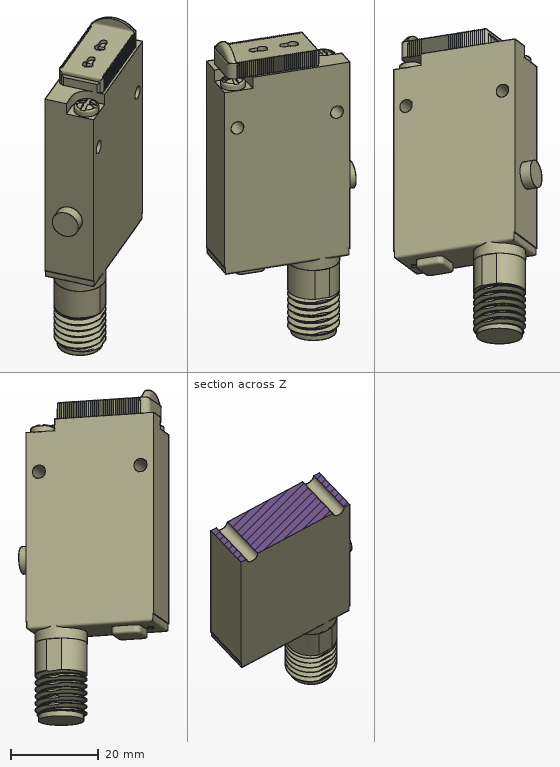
import cadquery as cq
import math


width = 12.04
depth = 30.72
plate_bottom = 20.6
body_bottom = 22.45
body_top = 69.7
plate_inset = 0.2
plate_fillet = 0.6
front_y = -depth / 2

hole_diameter = 3.1
hole_spacing = 24.4
hole_z = 57.5
button_diameter = 6.4
button_length = 2.6
button_z = 38.25

screw_x = 2.98
screw_y = 12.16
pocket_radius = 3.72
pocket_depth = 2.8
head_radius = 2.85
head_side_height = 1.0
head_edge = 0.55
head_height = 2.2
drive_width = 1.1
drive_depth = 0.75
pocket_floor = body_top - pocket_depth
pocket_back = -screw_y + pocket_radius

cap_half_width = 5.45
cap_front = -8.15
cap_rear = 14.1
cap_top = 73.6
cap_end_fillet = 0.65
cap_front_corner = 0.75
cap_rear_corner = 1.6
rib_pitch = 0.5
rib_depth = 0.45

panel_half_width = 4.75
panel_top = 72.5
panel_front = pocket_back
panel_bevel = 0.6

fin_front = 12.3
fin_rear = 13.85
fin_top = 76.22
fin_shoulder = 73.45
fin_rear_fillet = 1.3
fin_root_fillet = 0.6

keyhole_ys = (-3.68, 3.85)
keyhole_radius = 1.2
keyhole_depth = 1.3
slot_width = 1.6
slot_reach = 3.2
slot_depth = 0.9
ramp_start = 1.05
ramp_end = 1.6

plug_y = -8.7
collar_radius = width / 2
collar_bottom = 18.1
shank_radius = 5.98
flat_half_width = 5.7
thread_top = 10.75
thread_bottom = 1.2
thread_pitch = 1.61
thread_root = 5.0
thread_phase_z = 9.2
thread_turns_below = 7
ridge_half_crest = 0.07
ridge_half_root = 0.7
ridge_bury = 0.15
tip_radius = 5.25

foot_size = 7.0
foot_y = 7.73
foot_bottom = 18.7
foot_corner = 1.3
foot_fillet = 0.55
pip_diameter = 1.5
pip_y = 12.85
pip_height = 0.25

overlap = 0.5
half_way = math.sqrt(0.5)


def block(x_range, y_range, z_range):
    """Box between two limits on each axis."""
    size = [limits[1] - limits[0] for limits in (x_range, y_range, z_range)]
    corner = (x_range[0], y_range[0], z_range[0])
    return cq.Workplane("XY").box(*size, centered=False).translate(corner)


def cylinder(x, y, radius, z_low, z_high):
    """Upright cylinder between two heights."""
    return cq.Workplane("XY", origin=(x, y, z_low)).circle(radius).extrude(z_high - z_low)


def make_housing():
    """Main body, rounded end plate, two cross holes and the front button."""
    body = cq.Workplane("XY").workplane(offset=body_bottom).rect(width, depth)
    body = body.extrude(body_top - body_bottom)
    plate = cq.Workplane("XY").workplane(offset=plate_bottom).rect(width, depth - 2 * plate_inset)
    plate = plate.extrude(body_bottom - plate_bottom).faces("<Z").edges().fillet(plate_fillet)
    holes = (
        cq.Workplane("YZ", origin=(-width, 0, hole_z))
        .pushPoints([(-hole_spacing / 2, 0), (hole_spacing / 2, 0)])
        .circle(hole_diameter / 2)
        .extrude(2 * width)
    )
    button = (
        cq.Workplane("XZ", origin=(0, front_y + overlap, button_z))
        .circle(button_diameter / 2)
        .extrude(button_length + overlap)
    )
    return body.union(plate).cut(holes).union(button)


def make_pocket():
    """Round-cornered pocket that opens through the +X and -Y sides."""
    z_range = (pocket_floor, body_top)
    left = screw_x - pocket_radius
    pocket = cylinder(screw_x, -screw_y, pocket_radius, *z_range)
    pocket = pocket.union(block((left, width), (-depth, -screw_y), z_range))
    return pocket.union(block((screw_x, width), (-depth, pocket_back), z_range))


def make_screw():
    """Domed screw head with a cross drive."""
    shoulder_radius = head_radius - head_edge
    shoulder_height = head_side_height + head_edge
    edge_mid = head_edge * half_way
    dome_rise = head_height - shoulder_height
    dome_radius = (shoulder_radius**2 + dome_rise**2) / (2 * dome_rise)
    mid_radius = shoulder_radius / 2
    mid_height = head_height - dome_radius + math.sqrt(dome_radius**2 - mid_radius**2)
    head = (
        cq.Workplane("XZ")
        .moveTo(0, -overlap)
        .lineTo(head_radius, -overlap)
        .lineTo(head_radius, head_side_height)
        .threePointArc(
            (shoulder_radius + edge_mid, head_side_height + edge_mid),
            (shoulder_radius, shoulder_height),
        )
        .threePointArc((mid_radius, mid_height), (0, head_height))
        .close()
        .revolve(360, (0, 0, 0), (0, 1, 0))
    )
    drive_floor = head_height - drive_depth
    half_drive = drive_width / 2
    reach = 2 * head_radius
    drive_z = (drive_floor, 2 * head_height)
    head = head.cut(block((-half_drive, half_drive), (-reach, reach), drive_z))
    head = head.cut(block((-reach, reach), (-half_drive, half_drive), drive_z))
    return head.translate((screw_x, -screw_y, pocket_floor))


def make_cap_base():
    """Rounded cap with vertical V ribs along both long sides."""
    ribs_front = cap_front + cap_front_corner
    ribs_length = cap_rear - cap_rear_corner - ribs_front
    rib_count = int(ribs_length / rib_pitch)
    cap = block((-cap_half_width, cap_half_width), (cap_front, cap_rear), (body_top, cap_top))
    ends = cap.edges(">Z and (<Y or >Y)").fillet(cap_end_fillet)
    cap = cap.edges("|Z and <Y").fillet(cap_front_corner)
    cap = cap.edges("|Z and >Y").fillet(cap_rear_corner)
    cap = cap.intersect(ends)
    for side in (-1, 1):
        crest_x = side * cap_half_width
        root_x = side * (cap_half_width - rib_depth)
        grooves = [(2 * crest_x, ribs_front), (crest_x, ribs_front)]
        for index in range(rib_count):
            start = ribs_front + index * rib_pitch
            grooves.append((root_x, start + rib_pitch / 2))
            grooves.append((crest_x, start + rib_pitch))
        grooves.append((2 * crest_x, ribs_front + rib_count * rib_pitch))
        cutter = cq.Workplane("XY").workplane(offset=body_top).polyline(grooves).close()
        cap = cap.cut(cutter.extrude(cap_top - body_top))
    return cap


def make_panel():
    """Raised, bevelled rectangle on the cap front."""
    bevel_depth = cap_front - panel_front
    face_half_width = panel_half_width - panel_bevel
    side_profile = [
        (-panel_half_width, cap_front + overlap),
        (-panel_half_width, cap_front),
        (-face_half_width, panel_front),
        (face_half_width, panel_front),
        (panel_half_width, cap_front),
        (panel_half_width, cap_front + overlap),
    ]
    top_profile = [
        (cap_front + overlap, body_top),
        (panel_front, body_top),
        (panel_front, panel_top - panel_bevel),
        (panel_front + bevel_depth, panel_top),
        (cap_front + overlap, panel_top),
    ]
    across = cq.Workplane("XY").workplane(offset=body_top).polyline(side_profile).close()
    upright = cq.Workplane("YZ").polyline(top_profile).close().extrude(panel_half_width, both=True)
    return across.extrude(panel_top - body_top).intersect(upright)


def make_fin():
    """Domed upright fin, rounded behind and blended into the cap top in front."""
    dome_height = fin_top - fin_shoulder
    dome_radius = (cap_half_width**2 + dome_height**2) / (2 * dome_height)
    root_y = fin_front - fin_root_fillet
    mid_offset = fin_root_fillet * (1 - half_way)
    side_profile = (
        cq.Workplane("YZ")
        .moveTo(fin_rear, body_top)
        .lineTo(fin_rear, fin_top)
        .lineTo(fin_front, fin_top)
        .lineTo(fin_front, cap_top + fin_root_fillet)
        .threePointArc((fin_front - mid_offset, cap_top + mid_offset), (root_y, cap_top))
        .lineTo(root_y, body_top)
        .close()
        .extrude(cap_half_width, both=True)
    )
    rear_mid_offset = fin_rear_fillet * (1 - half_way)
    dome = (
        cq.Workplane("XY", origin=(0, 0, fin_top - dome_radius))
        .moveTo(0, root_y)
        .lineTo(dome_radius, root_y)
        .lineTo(dome_radius, fin_rear - fin_rear_fillet)
        .threePointArc(
            (dome_radius - rear_mid_offset, fin_rear - rear_mid_offset),
            (dome_radius - fin_rear_fillet, fin_rear),
        )
        .lineTo(0, fin_rear)
        .close()
        .revolve(360, (0, 0, 0), (0, 1, 0))
    )
    outline = block(
        (-cap_half_width, cap_half_width),
        (root_y - cap_rear_corner, fin_rear),
        (cap_top - cap_end_fillet, fin_top),
    )
    outline = outline.edges("|Z and >Y").fillet(cap_rear_corner)
    return outline.intersect(side_profile).intersect(dome)


def make_keyhole(y):
    """Round opening with a shallower slot that ramps down into it."""
    half_slot = slot_width / 2
    opening = cylinder(0, y, keyhole_radius, cap_top - keyhole_depth, cap_top)
    slot_centre = slot_reach - half_slot
    slot_plan = block((-half_slot, half_slot), (y, y + slot_centre), (body_top, cap_top))
    slot_plan = slot_plan.union(cylinder(0, y + slot_centre, half_slot, body_top, cap_top))
    floor_profile = [
        (y, cap_top),
        (y, cap_top - keyhole_depth),
        (y + ramp_start, cap_top - keyhole_depth),
        (y + ramp_end, cap_top - slot_depth),
        (y + slot_reach, cap_top - slot_depth),
        (y + slot_reach, cap_top),
    ]
    slot = cq.Workplane("YZ").polyline(floor_profile).close().extrude(half_slot, both=True)
    return opening.union(slot_plan.intersect(slot))


def make_thread():
    """Threaded core: a helical V ridge standing on a plain cylinder."""
    start_z = thread_phase_z - thread_turns_below * thread_pitch
    helix_height = thread_top - start_z + thread_pitch
    flank_slope = (ridge_half_root - ridge_half_crest) / (shank_radius - thread_root)
    buried_radius = thread_root - ridge_bury
    buried_half = ridge_half_root + flank_slope * ridge_bury
    helix = cq.Wire.makeHelix(thread_pitch, helix_height, thread_root)
    ridge = (
        cq.Workplane("XZ")
        .polyline(
            [
                (buried_radius, -buried_half),
                (shank_radius, -ridge_half_crest),
                (shank_radius, ridge_half_crest),
                (buried_radius, buried_half),
            ]
        )
        .close()
        .sweep(cq.Workplane(helix), isFrenet=True)
        .translate((0, 0, start_z))
    )
    trim = cylinder(0, 0, 2 * collar_radius, thread_bottom, thread_top)
    core = cylinder(0, 0, thread_root, thread_bottom, thread_top)
    return core.union(ridge.intersect(trim))


def make_plug():
    """Collar, flatted shank, thread and plain tip of the connector."""
    shank = cylinder(0, 0, shank_radius, thread_top, collar_bottom)
    shank = shank.union(make_thread())
    flats = block((-flat_half_width, flat_half_width), (-width, width), (0, collar_bottom))
    shank = shank.intersect(flats)
    tip = cylinder(0, 0, tip_radius, 0, thread_bottom)
    collar = cylinder(0, 0, collar_radius, collar_bottom, plate_bottom + plate_fillet)
    return shank.union(tip).union(collar).translate((0, plug_y, 0))


def make_foot():
    """Rounded foot and small pip under the end plate."""
    foot = (
        cq.Workplane("XY", origin=(0, foot_y, foot_bottom))
        .rect(foot_size, foot_size)
        .extrude(plate_bottom - foot_bottom + overlap)
        .edges("|Z")
        .fillet(foot_corner)
        .faces("<Z")
        .edges()
        .fillet(foot_fillet)
    )
    pip = cylinder(0, pip_y, pip_diameter / 2, plate_bottom - pip_height, plate_bottom + overlap)
    return foot.union(pip)


housing = make_housing()
for turn in (0, 180):
    pocket = make_pocket().rotate((0, 0, 0), (0, 0, 1), turn)
    screw = make_screw().rotate((0, 0, 0), (0, 0, 1), turn)
    housing = housing.cut(pocket).union(screw)

cap = make_cap_base().union(make_panel()).union(make_fin())
for keyhole_y in keyhole_ys:
    cap = cap.cut(make_keyhole(keyhole_y))

result = housing.union(cap).union(make_plug()).union(make_foot())